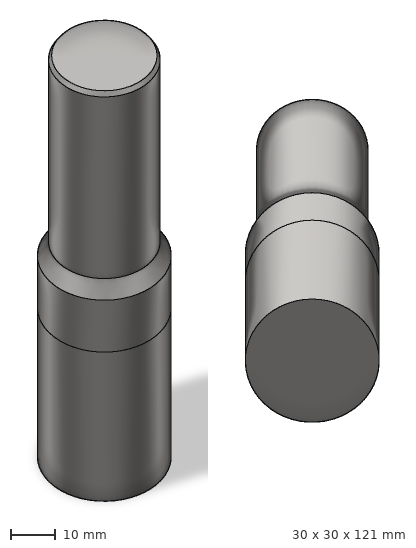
import cadquery as cq
import math

total_height = 121.0
body_diameter = 30.0
shank_diameter = 25.0
base_height = 45.0
collar_height = 20.0
shoulder_angle = 60.0
tip_chamfer_height = 1.2
tip_chamfer_width = 0.7

body_radius = body_diameter / 2
shank_radius = shank_diameter / 2
collar_wall = body_radius - shank_radius
collar_top = base_height + collar_height
shoulder_height = collar_wall * math.tan(math.radians(shoulder_angle))
shoulder_start = collar_top - shoulder_height


def revolve_about_z(points):
    """Revolve a closed (radius, height) outline fully about the Z axis."""
    return cq.Workplane("XZ").polyline(points).close().revolve(360, (0, 0, 0), (0, 1, 0))


def make_pin():
    """Wide base with a narrower shank whose tip is chamfered."""
    return revolve_about_z([
        (0, 0),
        (body_radius, 0),
        (body_radius, base_height),
        (shank_radius, base_height),
        (shank_radius, total_height - tip_chamfer_height),
        (shank_radius - tip_chamfer_width, total_height),
        (0, total_height),
    ])


def make_collar():
    """Ring around the shank, flush with the base, tapering to the shank at its top."""
    return revolve_about_z([
        (shank_radius, base_height),
        (body_radius, base_height),
        (body_radius, shoulder_start),
        (shank_radius, collar_top),
    ])


pin = make_pin()
collar = make_collar()

result = cq.Compound.makeCompound([pin.val(), collar.val()])